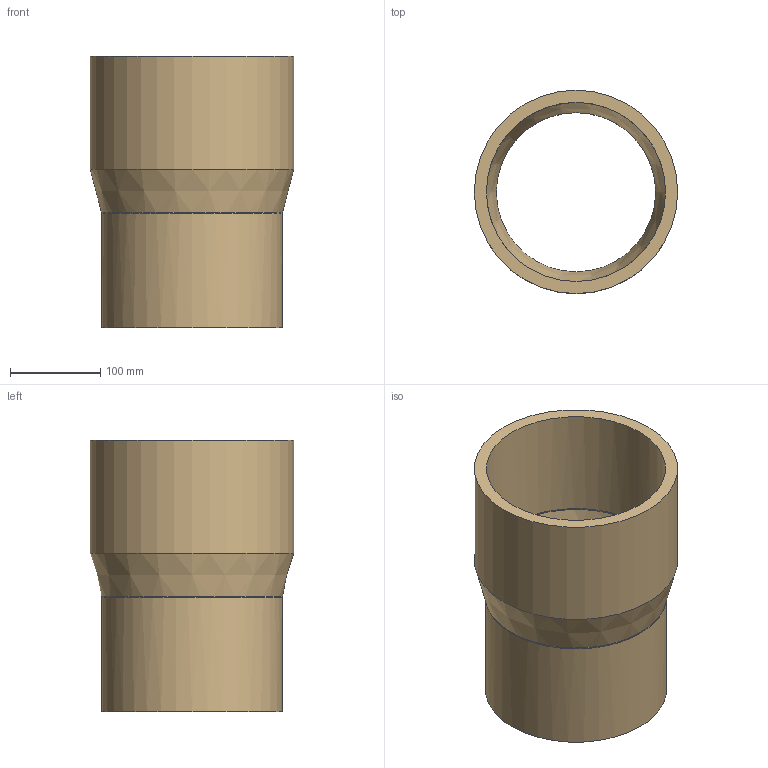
import cadquery as cq

total_height = 300.0
wide_diameter = 225.0
wide_wall = 13.4
wide_length = 125.0
narrow_diameter = 200.0
narrow_wall = 11.9
narrow_length = 127.0
blend_radius = 5.0

wide_radius = wide_diameter / 2
narrow_radius = narrow_diameter / 2
cone_bottom = narrow_length
cone_top = total_height - wide_length


def stepped_body(lower_radius, upper_radius):
    """Solid of revolution: lower cylinder, cone, upper cylinder."""
    return (
        cq.Workplane("XZ")
        .lineTo(lower_radius, 0)
        .lineTo(lower_radius, cone_bottom)
        .lineTo(upper_radius, cone_top)
        .lineTo(upper_radius, total_height)
        .lineTo(0, total_height)
        .close()
        .revolve(360, (0, 0, 0), (0, 1, 0))
    )


def blend_bend(body, height):
    """Round the circular edge at the given height."""
    edge_selector = cq.selectors.NearestToPointSelector((0, 0, height))
    return body.edges("%CIRCLE").edges(edge_selector).fillet(blend_radius)


outer_body = stepped_body(narrow_radius, wide_radius)
outer_body = blend_bend(outer_body, cone_bottom)

bore = stepped_body(narrow_radius - narrow_wall, wide_radius - wide_wall)
bore = blend_bend(bore, cone_top)

result = outer_body.cut(bore)